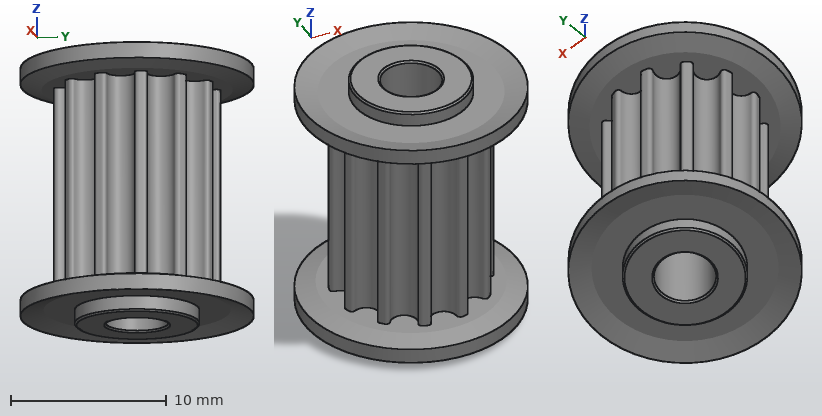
import cadquery as cq
import math

total_height = 17.5
hub_radius = 4.0
bore_radius = 2.0
edge_chamfer = 0.12

flange_diameter = 15.0
flange_radius = flange_diameter / 2
hub_projection = 0.6
flange_thickness = 1.0
bend_angle = math.radians(15)
outer_bend_radius = 6.0

tooth_count = 12
tip_radius = 5.35
groove_depth = 1.28
groove_radius = 0.91
tip_fillet = 0.26

inner_bend_radius = outer_bend_radius + flange_thickness * math.tan(bend_angle / 2)
rim_top = total_height / 2 - hub_projection
dish_top = rim_top - (flange_radius - outer_bend_radius) * math.tan(bend_angle)
dish_bottom = dish_top - flange_thickness
rim_bottom = dish_bottom + (flange_radius - inner_bend_radius) * math.tan(bend_angle)


def polar(radius, angle):
    return (radius * math.cos(angle), radius * math.sin(angle))


def toward(start, end, distance):
    """Point at a given distance from start, on the line to end."""
    share = distance / math.dist(start, end)
    return tuple(a + (b - a) * share for a, b in zip(start, end))


def toothed_core():
    """Toothed drum between the flanges, with a groove centred on +X."""
    pitch_angle = 2 * math.pi / tooth_count
    groove_center = tip_radius - groove_depth + groove_radius
    fillet_center = tip_radius - tip_fillet
    fillet_angle = math.acos(
        (groove_center**2 + fillet_center**2 - (groove_radius + tip_fillet) ** 2)
        / (2 * groove_center * fillet_center)
    )

    def fillet_points(groove_angle, side):
        """Tip end, middle and groove end of the fillet on one side of a groove."""
        angle = groove_angle + side * fillet_angle
        center = polar(fillet_center, angle)
        tip_end = polar(tip_radius, angle)
        groove_end = toward(center, polar(groove_center, groove_angle), tip_fillet)
        chord_middle = tuple((a + b) / 2 for a, b in zip(tip_end, groove_end))
        return tip_end, toward(center, chord_middle, tip_fillet), groove_end

    start_plane = cq.Workplane("XY", origin=(0, 0, -dish_bottom))
    outline = start_plane.moveTo(*polar(tip_radius, -fillet_angle))
    for index in range(tooth_count):
        groove_angle = index * pitch_angle
        _, entry_middle, entry_end = fillet_points(groove_angle, -1)
        exit_tip, exit_middle, exit_start = fillet_points(groove_angle, 1)
        groove_bottom = polar(tip_radius - groove_depth, groove_angle)
        tooth_middle = polar(tip_radius, groove_angle + pitch_angle / 2)
        next_tip = polar(tip_radius, groove_angle + pitch_angle - fillet_angle)
        outline = (
            outline.threePointArc(entry_middle, entry_end)
            .threePointArc(groove_bottom, exit_start)
            .threePointArc(exit_middle, exit_tip)
            .threePointArc(tooth_middle, next_tip)
        )
    return outline.close().extrude(2 * dish_bottom)


def upper_flange():
    section = [
        (0, dish_bottom),
        (inner_bend_radius, dish_bottom),
        (flange_radius, rim_bottom),
        (flange_radius, rim_top),
        (outer_bend_radius, dish_top),
        (0, dish_top),
    ]
    return cq.Workplane("XZ").polyline(section).close().revolve(360, (0, 0), (0, 1))


def hub():
    """Chamfered cylinder running the full height of the part."""
    cylinder = cq.Workplane("XY").cylinder(total_height, hub_radius)
    return cylinder.faces("<Z or >Z").chamfer(edge_chamfer)


def bore():
    """Through hole with chamfered mouths, as a solid to cut away."""
    half_height = total_height / 2
    mouth_radius = bore_radius + edge_chamfer
    section = [
        (0, -half_height),
        (mouth_radius, -half_height),
        (bore_radius, -half_height + edge_chamfer),
        (bore_radius, half_height - edge_chamfer),
        (mouth_radius, half_height),
        (0, half_height),
    ]
    return cq.Workplane("XZ").polyline(section).close().revolve(360, (0, 0), (0, 1))


flange = upper_flange()
body = toothed_core().union(flange).union(flange.mirror("XY")).union(hub())
result = body.cut(bore())